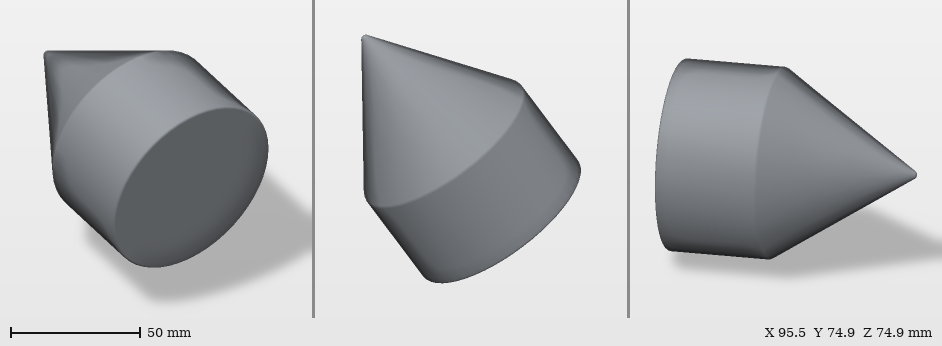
import cadquery as cq
import math

length = 95.5
body_diameter = 74.9
body_radius = body_diameter / 2

tip_radius = 1.8
shoulder_radius = 2.0
rear_radius = 1.0

cylinder_length = 39.9

rear_x = length / 2
shoulder_x = rear_x - cylinder_length
tip_center_x = -length / 2 + tip_radius

corner_run = shoulder_x - tip_center_x
corner_distance = math.hypot(corner_run, body_radius)
half_angle = math.atan2(body_radius, corner_run) - math.asin(tip_radius / corner_distance)


def round_point(center_x, center_r, radius, angle):
    """Point on a rounding arc, with the angle measured from the -X direction towards the outside."""
    return (center_x - radius * math.cos(angle), center_r + radius * math.sin(angle))


normal_angle = math.pi / 2 - half_angle
shoulder_center_x = shoulder_x + shoulder_radius * math.tan(half_angle / 2)
shoulder_center_r = body_radius - shoulder_radius
shoulder_mid_angle = (normal_angle + math.pi / 2) / 2
rear_center_x = rear_x - rear_radius
rear_center_r = body_radius - rear_radius

profile = (
    cq.Workplane("XY")
    .moveTo(-length / 2, 0)
    .threePointArc(
        round_point(tip_center_x, 0, tip_radius, normal_angle / 2),
        round_point(tip_center_x, 0, tip_radius, normal_angle),
    )
    .lineTo(*round_point(shoulder_center_x, shoulder_center_r, shoulder_radius, normal_angle))
    .threePointArc(
        round_point(shoulder_center_x, shoulder_center_r, shoulder_radius, shoulder_mid_angle),
        (shoulder_center_x, body_radius),
    )
    .lineTo(rear_center_x, body_radius)
    .threePointArc(
        round_point(rear_center_x, rear_center_r, rear_radius, 3 * math.pi / 4),
        (rear_x, rear_center_r),
    )
    .lineTo(rear_x, 0)
    .close()
)

result = profile.revolve(360, (0, 0, 0), (1, 0, 0))